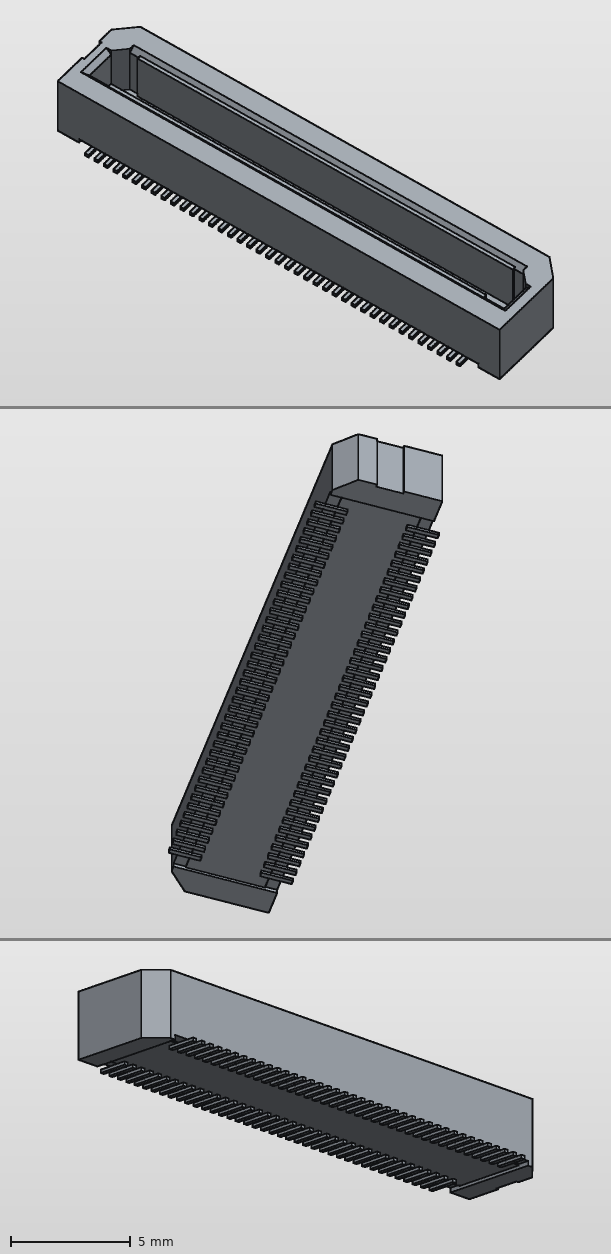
import cadquery as cq

length = 23.2
width = 4.55
height = 3.05
corner_cut = 0.85
groove_width = 1.18
groove_depth = 0.12

cavity_length = 21.75
cavity_width = 2.05
cavity_depth = 2.5
cavity_corner_cut = 0.55
lead_in = 0.25

bar_length = 19.7
bar_thickness = 0.12
bar_top_drop = 0.19

relief_length = 20.95
relief_height = 0.2
rib_width = 3.48

pins_per_row = 40
pin_row_span = 19.49
pin_width = 0.193
pin_height = 0.15
pin_tip_span = 5.4
pin_length = 1.4
pin_pitch = pin_row_span / (pins_per_row - 1)


def corner_cut_block(size_x, size_y, size_z, cut, base_z):
    """Block standing on base_z with its two +Y vertical edges cut at 45 degrees."""
    block = cq.Workplane("XY").workplane(offset=base_z).rect(size_x, size_y).extrude(size_z)
    return block.edges("|Z and >Y").chamfer(cut)


def make_lead_in():
    """Bevelled mouth on the straight walls; the cut corners stay vertical."""
    mouth = (
        cq.Workplane("XY")
        .workplane(offset=height - lead_in)
        .rect(cavity_length, cavity_width)
        .workplane(offset=lead_in)
        .rect(cavity_length + 2 * lead_in, cavity_width + 2 * lead_in)
        .loft(ruled=True)
    )
    corner_size = 2 * (cavity_corner_cut + lead_in)
    corners = (
        cq.Workplane("XY")
        .workplane(offset=height - lead_in)
        .pushPoints([
            (side * (cavity_length / 2 + lead_in), cavity_width / 2 + lead_in)
            for side in (-1, 1)
        ])
        .rect(corner_size, corner_size)
        .extrude(lead_in)
    )
    return mouth.cut(corners)


def make_contact_bars():
    """Two bars from the cavity floor, backed into the long walls."""
    backing = lead_in
    bar_y = cavity_width / 2 - bar_thickness + (bar_thickness + backing) / 2
    return (
        cq.Workplane("XY")
        .workplane(offset=height - cavity_depth)
        .pushPoints([(0, -bar_y), (0, bar_y)])
        .rect(bar_length, bar_thickness + backing)
        .extrude(cavity_depth - bar_top_drop)
    )


def make_relief():
    """Clearance under the housing, shallower along the centre rib."""
    relief = cq.Workplane("XY").rect(relief_length, width).extrude(relief_height)
    rib = (
        cq.Workplane("XY")
        .workplane(offset=pin_height)
        .rect(relief_length, rib_width)
        .extrude(relief_height - pin_height)
    )
    return relief.cut(rib)


def make_pins():
    """Two rows of flat pins lying on the base plane."""
    row_y = (pin_tip_span - pin_length) / 2
    centres = [
        (index * pin_pitch - pin_row_span / 2, side * row_y)
        for index in range(pins_per_row)
        for side in (-1, 1)
    ]
    return cq.Workplane("XY").pushPoints(centres).rect(pin_width, pin_length).extrude(pin_height)


housing = corner_cut_block(length, width, height, corner_cut, 0)
cavity = corner_cut_block(
    cavity_length, cavity_width, cavity_depth, cavity_corner_cut, height - cavity_depth
)
groove = cq.Workplane("XY").center(-length / 2, 0).rect(2 * groove_depth, groove_width).extrude(height)

result = (
    housing
    .cut(cavity)
    .cut(make_lead_in())
    .union(make_contact_bars())
    .cut(groove)
    .cut(make_relief())
    .union(make_pins())
)